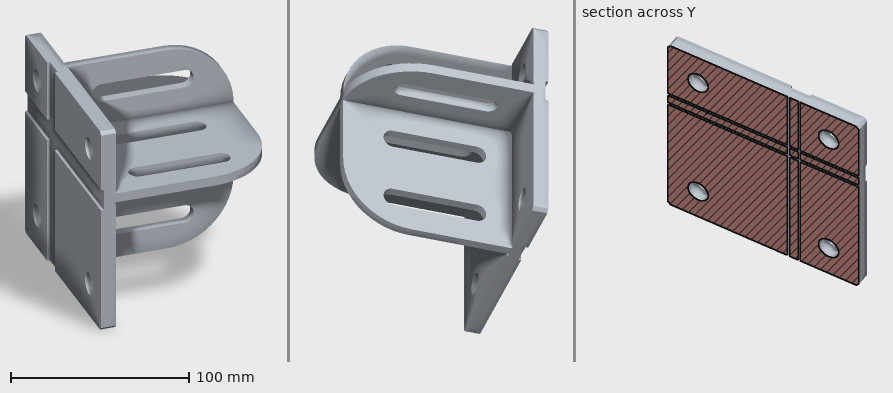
import cadquery as cq

side = 126.0
depth = 108.0

plate_thickness = 9.0
corner_chamfer = 1.9
hole_diameter = 13.0
edge_distance = 20.0
hole_offset = side / 2 - edge_distance

fin_thickness = 5.7
fin_corner_radius = 40.1
fin_offset = edge_distance

slot_width = 11.0
slot_length = 60.5
slot_back_margin = 23.8
middle_slot_offset = 2.9
slot_offsets = (-hole_offset, middle_slot_offset, hole_offset)

groove_mouth_width = 13.1
groove_floor_width = 12.5
groove_depth = 1.6

relief_width = 1.5
relief_depth = 0.6


def make_plate():
    """Square plate with chamfered corners and four through holes."""
    return (
        cq.Workplane("XY")
        .box(side, plate_thickness, side, centered=(True, False, True))
        .edges("|Y")
        .chamfer(corner_chamfer)
        .faces("<Y")
        .workplane(centerOption="CenterOfBoundBox")
        .rect(2 * hole_offset, 2 * hole_offset, forConstruction=True)
        .vertices()
        .hole(hole_diameter)
    )


def make_fin():
    """Horizontal fin with rounded rear corners and three slots."""
    fin_length = depth - plate_thickness
    slot_centre = depth - slot_back_margin - slot_length / 2
    fin = (
        cq.Workplane("XY")
        .box(side, fin_length, fin_thickness, centered=(True, False, True))
        .translate((0, plate_thickness, 0))
        .edges("|Z and >Y")
        .fillet(fin_corner_radius)
    )
    slots = (
        cq.Workplane("XY")
        .pushPoints([(x, slot_centre) for x in slot_offsets])
        .slot2D(slot_length, slot_width, 90)
        .extrude(fin_thickness, both=True)
    )
    return fin.cut(slots)


def make_groove():
    """Horizontal groove with sides that narrow towards its floor."""
    mouth = groove_mouth_width / 2
    floor = groove_floor_width / 2
    return (
        cq.Workplane("YZ")
        .polyline([(0, -mouth), (groove_depth, -floor), (groove_depth, floor), (0, mouth)])
        .close()
        .extrude(side / 2, both=True)
    )


def make_reliefs():
    """Pair of shallow round-bottomed channels in the rear plate face beside a horizontal fin."""
    inner = fin_thickness / 2
    middle = inner + relief_width / 2
    outer = inner + relief_width
    relief = (
        cq.Workplane("YZ")
        .moveTo(plate_thickness, inner)
        .threePointArc((plate_thickness - relief_depth, middle), (plate_thickness, outer))
        .close()
        .extrude(side / 2, both=True)
    )
    return relief.union(relief.mirror("XY"))


def place_horizontal(body):
    """Lift a body from the centre plane to the horizontal fin height."""
    return body.translate((0, 0, fin_offset))


def place_vertical(body):
    """Turn a horizontal body upright, with its +X end at the bottom."""
    return body.rotate((0, 0, 0), (0, 1, 0), 90).translate((-fin_offset, 0, 0))


result = make_plate()
for place in (place_horizontal, place_vertical):
    result = result.cut(place(make_groove())).cut(place(make_reliefs()))
for place in (place_horizontal, place_vertical):
    result = result.union(place(make_fin()))